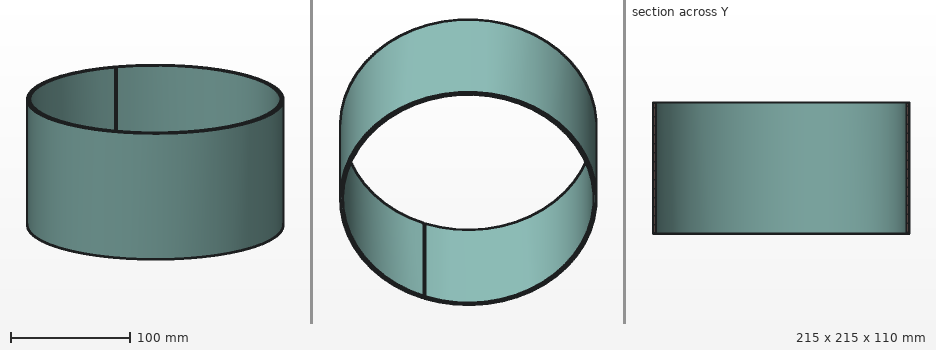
import cadquery as cq

outer_diameter = 215.0
wall_thickness = 2.5
height = 110.0
outer_chamfer = 0.5
inner_chamfer = 0.2
slit_angle = 1.0

outer_radius = outer_diameter / 2
inner_radius = outer_radius - wall_thickness
band_angle = 360.0 - slit_angle


def wall_section():
    """Wall cross-section on the -X side, chamfered at all four corners."""
    return (
        cq.Workplane("XZ")
        .moveTo(-inner_radius - inner_chamfer, 0)
        .lineTo(-outer_radius + outer_chamfer, 0)
        .lineTo(-outer_radius, outer_chamfer)
        .lineTo(-outer_radius, height - outer_chamfer)
        .lineTo(-outer_radius + outer_chamfer, height)
        .lineTo(-inner_radius - inner_chamfer, height)
        .lineTo(-inner_radius, height - inner_chamfer)
        .lineTo(-inner_radius, inner_chamfer)
        .close()
    )


def make_split_band():
    """Band swept about Z from the -X axis; the missing arc is the slit, on its +Y side."""
    axis_start = (0, 0, 0)
    axis_end = (0, 1, 0)
    return wall_section().revolve(band_angle, axis_start, axis_end)


result = make_split_band()